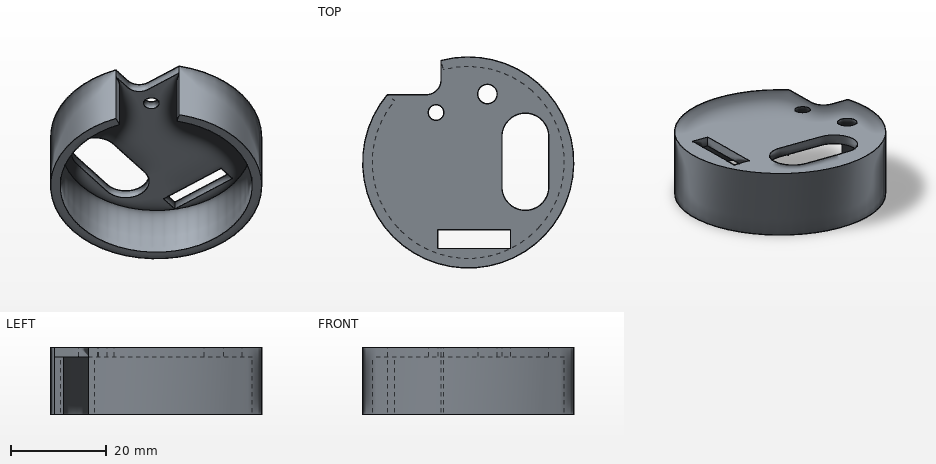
import cadquery as cq
import math

OUTER_RADIUS = 22.0
HEIGHT = 14.0
PLATE_THICKNESS = 2.0
WALL_THICKNESS = 2.0
INNER_RADIUS = OUTER_RADIUS - WALL_THICKNESS
CAVITY_HEIGHT = HEIGHT - PLATE_THICKNESS

GAP_START_ANGLE = 105.0
GAP_END_ANGLE = 140.0

NOTCH_X = OUTER_RADIUS * math.cos(math.radians(GAP_START_ANGLE))
NOTCH_Y = OUTER_RADIUS * math.sin(math.radians(GAP_END_ANGLE))
NOTCH_CORNER_RADIUS = 3.0

LARGE_HOLE_DIAMETER = 4.0
LARGE_HOLE_CENTER = (4.0, 14.25)
SMALL_HOLE_DIAMETER = 3.2
SMALL_HOLE_CENTER = (-6.7, 10.4)

SLOT_LENGTH = 20.2
SLOT_WIDTH = 9.7
SLOT_CENTER = (11.9, 0.15)

WINDOW_LENGTH = 15.1
WINDOW_WIDTH = 3.85
WINDOW_CENTER = (1.25, -15.95)


def make_cap():
    """Cylinder hollowed from below, leaving the plate and the ring wall."""
    body = cq.Workplane("XY").circle(OUTER_RADIUS).extrude(HEIGHT)
    cavity = cq.Workplane("XY").circle(INNER_RADIUS).extrude(CAVITY_HEIGHT)
    return body.cut(cavity)


def make_wall_gap():
    """Wedge from the axis that opens the ring wall below the plate."""
    reach = 2 * OUTER_RADIUS
    start = math.radians(GAP_START_ANGLE)
    end = math.radians(GAP_END_ANGLE)
    return (
        cq.Workplane("XY")
        .moveTo(0, 0)
        .lineTo(reach * math.cos(start), reach * math.sin(start))
        .lineTo(reach * math.cos(end), reach * math.sin(end))
        .close()
        .extrude(CAVITY_HEIGHT)
    )


def make_plate_notch():
    """Square corner cut with one rounded inner corner."""
    return (
        cq.Workplane("XY")
        .workplane(offset=CAVITY_HEIGHT)
        .moveTo(NOTCH_X, NOTCH_Y)
        .rect(-OUTER_RADIUS, OUTER_RADIUS, centered=False)
        .extrude(PLATE_THICKNESS)
        .edges("|Z and >X and <Y")
        .fillet(NOTCH_CORNER_RADIUS)
    )


def plate_sketch(center):
    """Workplane at the underside of the plate, moved to the given centre."""
    return cq.Workplane("XY").workplane(offset=CAVITY_HEIGHT).center(*center)


def make_round_hole(center, diameter):
    return plate_sketch(center).circle(diameter / 2).extrude(PLATE_THICKNESS)


def make_slot():
    return plate_sketch(SLOT_CENTER).slot2D(SLOT_LENGTH, SLOT_WIDTH, angle=90).extrude(PLATE_THICKNESS)


def make_window():
    return plate_sketch(WINDOW_CENTER).rect(WINDOW_LENGTH, WINDOW_WIDTH).extrude(PLATE_THICKNESS)


result = (
    make_cap()
    .cut(make_wall_gap())
    .cut(make_plate_notch())
    .cut(make_round_hole(LARGE_HOLE_CENTER, LARGE_HOLE_DIAMETER))
    .cut(make_round_hole(SMALL_HOLE_CENTER, SMALL_HOLE_DIAMETER))
    .cut(make_slot())
    .cut(make_window())
)